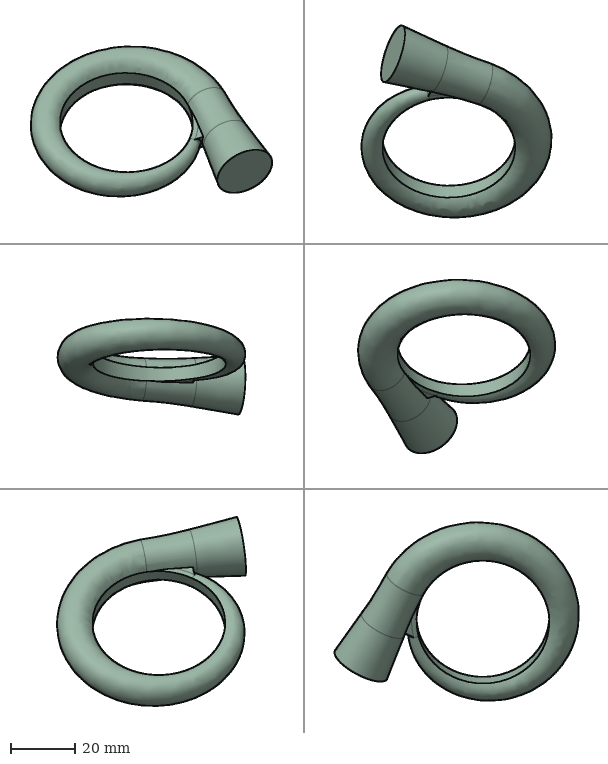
import cadquery as cq
import math

BORE_RADIUS = 20.7

START_OUTER_RADIUS = 33.7
OUTER_DROP = 2.15
OUTER_END_DROP = 0.0035
START_TUBE_RADIUS = 6.7
TUBE_DROP = 0.95
TUBE_END_DROP = 0.00163775
END_DROP_POWER = 5
SCROLL_QUARTER_TURNS = 3.55
SECTIONS = 20

OUTLET_RADIUS = 9.3
OUTLET_LENGTH = 31.0
OUTLET_AXIS_Y = START_OUTER_RADIUS - START_TUBE_RADIUS
FLARE_LENGTH = 15.7

WEB_LENGTH = 14.55
WEB_HEIGHT = 4.6


def tube_size(turns):
    """Tube radius and centreline radius, a number of quarter turns after the outlet joint."""
    end_term = turns**END_DROP_POWER
    outer = START_OUTER_RADIUS - OUTER_DROP * turns - OUTER_END_DROP * end_term
    tube = START_TUBE_RADIUS - TUBE_DROP * turns - TUBE_END_DROP * end_term
    return tube, outer - tube


def scroll_section(turns):
    """Circular tube section whose seam faces the bore."""
    tube, centreline = tube_size(turns)
    angle = (1 + turns) * math.pi / 2
    radial = cq.Vector(math.cos(angle), math.sin(angle), 0)
    tangent = cq.Vector(-math.sin(angle), math.cos(angle), 0)
    plane = cq.Plane(radial * centreline, xDir=-radial, normal=tangent)
    return cq.Workplane(plane).circle(tube).wires().val()


def make_scroll():
    step = SCROLL_QUARTER_TURNS / (SECTIONS - 1)
    sections = [scroll_section(i * step) for i in range(SECTIONS)]
    return cq.Workplane("XY").add(cq.Solid.makeLoft(sections))


def make_tail():
    """Constant tube that carries the thin end round the bore into the outlet."""
    tube, centreline = tube_size(SCROLL_QUARTER_TURNS)
    sweep_angle = 90 * (4 - SCROLL_QUARTER_TURNS)
    return (
        cq.Workplane("YZ")
        .center(centreline, 0)
        .circle(tube)
        .revolve(sweep_angle, (-centreline, 0.65), (-centreline, 0))
    )


def make_web():
    """Flat block between the tail's centreline and the outlet's axis."""
    centreline = tube_size(SCROLL_QUARTER_TURNS)[1]
    block = cq.Workplane("XY").box(
        WEB_LENGTH, OUTLET_AXIS_Y, WEB_HEIGHT, centered=(False, False, True)
    )
    tail_opening = cq.Workplane("XY").circle(centreline).extrude(WEB_HEIGHT, both=True)
    return block.cut(tail_opening)


def make_outlet():
    cone_slope = (OUTLET_RADIUS - START_TUBE_RADIUS) / (OUTLET_LENGTH - FLARE_LENGTH / 2)
    flare_end_radius = START_TUBE_RADIUS + cone_slope * FLARE_LENGTH / 2
    flare_middle_radius = START_TUBE_RADIUS + (flare_end_radius - START_TUBE_RADIUS) / 4
    axis_start = (0, OUTLET_AXIS_Y)
    axis_end = (OUTLET_LENGTH, OUTLET_AXIS_Y)
    return (
        cq.Workplane("XY")
        .moveTo(*axis_start)
        .lineTo(0, OUTLET_AXIS_Y + START_TUBE_RADIUS)
        .threePointArc(
            (FLARE_LENGTH / 2, OUTLET_AXIS_Y + flare_middle_radius),
            (FLARE_LENGTH, OUTLET_AXIS_Y + flare_end_radius),
        )
        .lineTo(OUTLET_LENGTH, OUTLET_AXIS_Y + OUTLET_RADIUS)
        .lineTo(*axis_end)
        .close()
        .revolve(360, axis_start, axis_end)
    )


bore = cq.Workplane("XY", origin=(0, 0, -OUTLET_RADIUS)).circle(BORE_RADIUS).extrude(2 * OUTLET_RADIUS)
result = make_scroll().union(make_tail()).union(make_outlet()).union(make_web()).cut(bore)